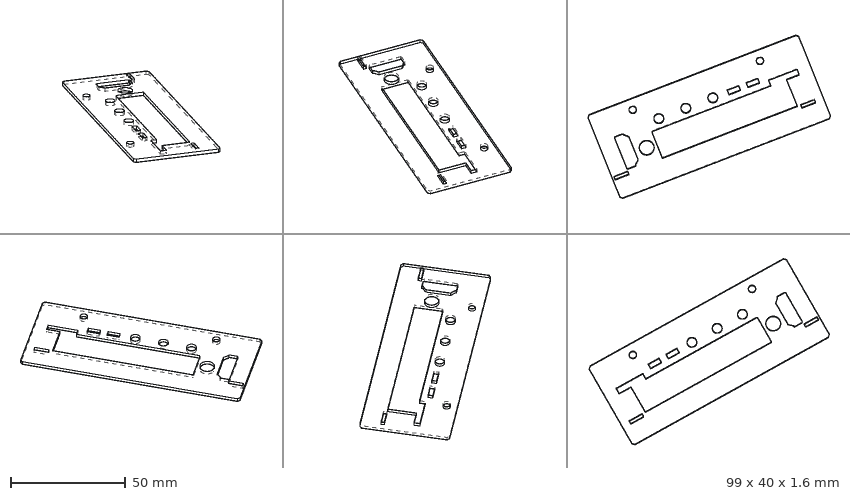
import cadquery as cq

length = 99.0
width = 40.0
thickness = 1.6
corner_chamfer = 1.0

window_left = -25.8
window_right = 37.5
window_top = 9.7
window_bottom = -3.1
notch_left = 30.1
notch_right = 43.5
notch_bottom = -5.7

opening_chamfer = 0.4

connector_left = -42.0
connector_right = -35.9
connector_shoulder = -37.8
connector_center_y = 1.0
connector_half_height = 7.7
connector_half_face = 5.5
connector_step = 0.5
connector_bend_radius = 0.5

large_hole_diameter = 6.4
large_hole_center = (-30.5, 2.9)
button_hole_diameter = 4.3
button_count = 3
button_pitch = 12.7
first_button_x = -20.8
button_y = -7.3
screw_hole_diameter = 3.2
screw_hole_xs = (-30.0, 29.8)
screw_hole_y = -15.1

tab_slot_length = 6.4
tab_slot_height = 1.5
tab_slot_xs = (-45.3, 42.4)
tab_slot_y = 10.4
switch_slot_length = 5.4
switch_slot_height = 2.2
switch_slot_xs = (14.4, 23.3)
switch_slot_y = -7.1


def hole_cutter(centers, diameter):
    """Through cylinders at the given centres."""
    return cq.Workplane("XY").pushPoints(centers).circle(diameter / 2).extrude(thickness)


def slot_cutter(centers, slot_length, slot_height):
    """Through rectangles at the given centres."""
    return cq.Workplane("XY").pushPoints(centers).rect(slot_length, slot_height).extrude(thickness)


def outline_cutter(points):
    """Through prism with a closed polygonal outline."""
    return cq.Workplane("XY").polyline(points).close().extrude(thickness)


def window_cutter():
    opening = outline_cutter([
        (window_left, window_top),
        (window_right, window_top),
        (window_right, window_bottom),
        (notch_right, window_bottom),
        (notch_right, notch_bottom),
        (notch_left, notch_bottom),
        (notch_left, window_bottom),
        (window_left, window_bottom),
    ])
    lower_left_edge = opening.edges(cq.NearestToPointSelector((window_left, window_bottom, thickness / 2)))
    return lower_left_edge.chamfer(opening_chamfer)


def connector_cutter():
    top = connector_center_y + connector_half_height
    bottom = connector_center_y - connector_half_height
    step_top = top - connector_step
    step_bottom = bottom + connector_step
    opening = outline_cutter([
        (connector_left, top),
        (connector_shoulder, top),
        (connector_shoulder, step_top),
        (connector_right, connector_center_y + connector_half_face),
        (connector_right, connector_center_y - connector_half_face),
        (connector_shoulder, step_bottom),
        (connector_shoulder, bottom),
        (connector_left, bottom),
    ])
    opening = opening.edges("|Z and <X").chamfer(opening_chamfer)
    for bend_y in (step_top, step_bottom):
        bend = cq.NearestToPointSelector((connector_shoulder, bend_y, thickness / 2))
        opening = opening.edges(bend).fillet(connector_bend_radius)
    return opening


button_centers = [(first_button_x + i * button_pitch, button_y) for i in range(button_count)]
screw_centers = [(x, screw_hole_y) for x in screw_hole_xs]
tab_slot_centers = [(x, tab_slot_y) for x in tab_slot_xs]
switch_slot_centers = [(x, switch_slot_y) for x in switch_slot_xs]

plate = cq.Workplane("XY").box(length, width, thickness, centered=(True, True, False))
plate = plate.edges("|Z").chamfer(corner_chamfer)

cutters = [
    window_cutter(),
    connector_cutter(),
    hole_cutter([large_hole_center], large_hole_diameter),
    hole_cutter(button_centers, button_hole_diameter),
    hole_cutter(screw_centers, screw_hole_diameter),
    slot_cutter(tab_slot_centers, tab_slot_length, tab_slot_height),
    slot_cutter(switch_slot_centers, switch_slot_length, switch_slot_height),
]
for cutter in cutters:
    plate = plate.cut(cutter)

result = plate